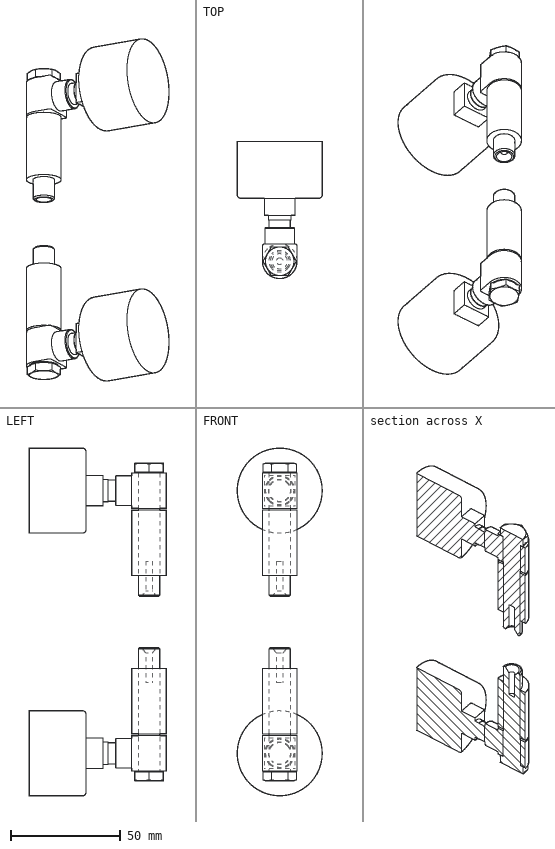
import cadquery as cq
import math

OVERALL_HEIGHT = 159.4

GAUGE_DIAMETER = 39.0
GAUGE_DEPTH = 26.1
GAUGE_RIM_RADIUS = 1.6
SQUARE_SIDE = 14.0
SQUARE_LENGTH = 7.8
NECK_DIAMETER = 10.4
NECK_LENGTH = 2.2
SPIGOT_DIAMETER = 9.9
SPIGOT_LENGTH = 3.3

EYE_DIAMETER = 16.0
EYE_HEIGHT = 16.3
EYE_EDGE_RADIUS = 1.0
COLLAR_DIAMETER = 13.7
COLLAR_LENGTH = 7.5
COLLAR_CHAMFER = 0.4

HEX_ACROSS_FLATS = 13.2
HEX_SIDES = 6
HEX_HEIGHT = 4.0
HEX_TOP_DIAMETER = 13.0
HEX_CORNER_DROP = 0.4
WASHER_FACE_HEIGHT = 0.5
SHANK_DIAMETER = 9.9
SHANK_TIP_CHAMFER = 0.6
BORE_DIAMETER = 3.0
BORE_DEPTH = 16.0
MOUTH_DIAMETER = 7.0
MOUTH_DEPTH = 2.5

SLEEVE_GAP = 0.8
SLEEVE_LENGTH = 30.0
TIP_LENGTH = 9.5

GAUGE_Z = (OVERALL_HEIGHT - GAUGE_DIAMETER) / 2
SQUARE_START_Y = -GAUGE_DEPTH
NECK_START_Y = SQUARE_START_Y - SQUARE_LENGTH
SPIGOT_START_Y = NECK_START_Y - NECK_LENGTH
COLLAR_START_Y = SPIGOT_START_Y - SPIGOT_LENGTH
EYE_BACK_Y = COLLAR_START_Y - COLLAR_LENGTH
BOLT_Y = EYE_BACK_Y - EYE_DIAMETER / 2
EYE_TOP_Z = GAUGE_Z + EYE_HEIGHT / 2
EYE_BOTTOM_Z = GAUGE_Z - EYE_HEIGHT / 2
SLEEVE_TOP_Z = EYE_BOTTOM_Z - SLEEVE_GAP
SLEEVE_BOTTOM_Z = SLEEVE_TOP_Z - SLEEVE_LENGTH
TIP_Z = SLEEVE_BOTTOM_Z - TIP_LENGTH


def forward_plane(y):
    """Plane at the given Y, on the gauge axis, facing -Y."""
    return cq.Workplane("XZ", origin=(0, y, GAUGE_Z))


def upward_plane(z):
    """Plane at the given Z, on the bolt axis, facing +Z."""
    return cq.Workplane("XY", origin=(0, BOLT_Y, z))


def make_gauge():
    dial = forward_plane(0).circle(GAUGE_DIAMETER / 2).extrude(GAUGE_DEPTH)
    dial = dial.faces("<Y").edges().fillet(GAUGE_RIM_RADIUS)
    square = forward_plane(SQUARE_START_Y).rect(SQUARE_SIDE, SQUARE_SIDE).extrude(SQUARE_LENGTH)
    neck = forward_plane(NECK_START_Y).circle(NECK_DIAMETER / 2).extrude(NECK_LENGTH)
    spigot = forward_plane(SPIGOT_START_Y).circle(SPIGOT_DIAMETER / 2).extrude(SPIGOT_LENGTH)
    return dial.union(square).union(neck).union(spigot)


def make_banjo():
    collar = forward_plane(COLLAR_START_Y).circle(COLLAR_DIAMETER / 2).extrude(COLLAR_LENGTH)
    collar = collar.faces(">Y").edges().chamfer(COLLAR_CHAMFER)
    round_eye = upward_plane(EYE_BOTTOM_Z).circle(EYE_DIAMETER / 2).extrude(EYE_HEIGHT)
    square_back = (
        upward_plane(EYE_BOTTOM_Z)
        .center(0, EYE_DIAMETER / 4)
        .rect(EYE_DIAMETER, EYE_DIAMETER / 2)
        .extrude(EYE_HEIGHT)
        .edges("|Z and >Y")
        .fillet(EYE_EDGE_RADIUS)
    )
    bore = upward_plane(EYE_BOTTOM_Z).circle(SHANK_DIAMETER / 2).extrude(EYE_HEIGHT)
    return round_eye.union(square_back).union(collar).cut(bore)


def make_hex_head():
    """Hexagon on a round washer face, its outer corners turned off by a shallow cone."""
    washer_face = upward_plane(EYE_TOP_Z).circle(HEX_ACROSS_FLATS / 2).extrude(WASHER_FACE_HEIGHT)
    across_corners = HEX_ACROSS_FLATS / math.cos(math.pi / HEX_SIDES)
    hexagon = (
        upward_plane(EYE_TOP_Z + WASHER_FACE_HEIGHT)
        .polygon(HEX_SIDES, across_corners)
        .extrude(HEX_HEIGHT)
    )
    corner_inset = (across_corners - HEX_TOP_DIAMETER) / 2
    turned_blank = (
        upward_plane(EYE_TOP_Z + WASHER_FACE_HEIGHT)
        .circle(across_corners / 2)
        .extrude(HEX_HEIGHT)
        .faces(">Z")
        .edges()
        .chamfer(HEX_CORNER_DROP, corner_inset)
    )
    return hexagon.intersect(turned_blank).union(washer_face)


def make_bolt():
    shank = upward_plane(TIP_Z).circle(SHANK_DIAMETER / 2).extrude(EYE_TOP_Z - TIP_Z)
    shank = shank.faces("<Z").edges().chamfer(SHANK_TIP_CHAMFER)
    bore = upward_plane(TIP_Z).circle(BORE_DIAMETER / 2).extrude(BORE_DEPTH)
    mouth = cq.Workplane(
        cq.Solid.makeCone(
            MOUTH_DIAMETER / 2,
            BORE_DIAMETER / 2,
            MOUTH_DEPTH,
            pnt=cq.Vector(0, BOLT_Y, TIP_Z),
            dir=cq.Vector(0, 0, 1),
        )
    )
    return make_hex_head().union(shank).cut(bore).cut(mouth)


def make_sleeve():
    return (
        upward_plane(SLEEVE_BOTTOM_Z)
        .circle(EYE_DIAMETER / 2)
        .circle(SHANK_DIAMETER / 2)
        .extrude(SLEEVE_LENGTH)
    )


bodies = []
for make_body in (make_gauge, make_banjo, make_bolt, make_sleeve):
    upper = make_body()
    lower = upper.mirror("XY")
    bodies += [upper.val(), lower.val()]

result = cq.Compound.makeCompound(bodies)